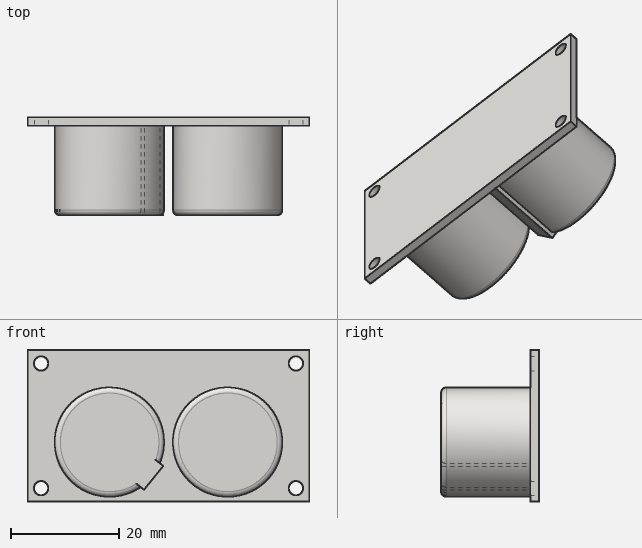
import cadquery as cq

PLATE_LENGTH = 52.0
PLATE_HEIGHT = 28.0
PLATE_THICKNESS = 1.6

HOLE_DIAMETER = 2.6
HOLE_SPACING_X = 47.0
HOLE_SPACING_Z = 23.0

CAN_DIAMETER = 20.2
CAN_LENGTH = 16.5
CAN_SPACING = 21.8
CAN_CENTRE_Z = -3.0
CAN_EDGE_RADIUS = 1.0

RIB_ANGLE = -39.0
RIB_WIDTH = 5.65
RIB_REACH = 10.5


def front_workplane(distance=0):
    """XZ sketch plane facing -Y, at a distance in front of the plate's front face."""
    return cq.Workplane("XZ", origin=(0, -distance, 0))


def make_plate():
    return (
        front_workplane(-PLATE_THICKNESS)
        .rect(PLATE_LENGTH, PLATE_HEIGHT)
        .rarray(HOLE_SPACING_X, HOLE_SPACING_Z, 2, 2)
        .circle(HOLE_DIAMETER / 2)
        .extrude(PLATE_THICKNESS)
    )


def make_can(centre_x):
    return (
        front_workplane()
        .center(centre_x, CAN_CENTRE_Z)
        .circle(CAN_DIAMETER / 2)
        .extrude(CAN_LENGTH)
        .faces("<Y")
        .edges()
        .fillet(CAN_EDGE_RADIUS)
    )


def make_rib(centre_x):
    """Bar from the can's axis out past its rim, turned about that axis."""
    return (
        front_workplane()
        .center(centre_x, CAN_CENTRE_Z)
        .transformed(rotate=(0, 0, RIB_ANGLE))
        .center(RIB_REACH / 2, 0)
        .rect(RIB_REACH, RIB_WIDTH)
        .extrude(CAN_LENGTH)
    )


left_can_x = -CAN_SPACING / 2
right_can_x = CAN_SPACING / 2

result = make_plate()
for can_x in (left_can_x, right_can_x):
    result = result.union(make_can(can_x))
result = result.union(make_rib(left_can_x)).clean()